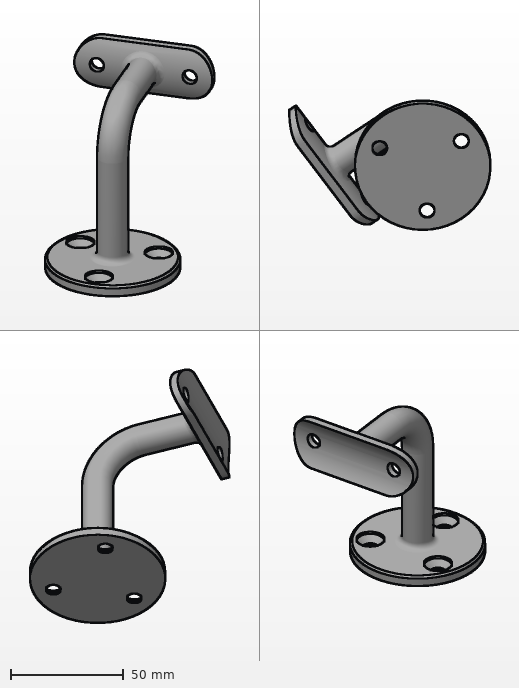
import cadquery as cq
import math

TOTAL_HEIGHT = 87.0

BASE_DIAMETER = 60.0
BASE_THICKNESS = 5.0
BASE_CHAMFER = 1.05

SCREW_HOLE_DIAMETER = 6.5
COUNTERSINK_DIAMETER = 12.5
COUNTERSINK_RIM_DEPTH = 1.1
COUNTERSINK_ANGLE = 90.0
SCREW_COUNT = 3
SCREW_CIRCLE_RADIUS = 21.0
FIRST_SCREW_ANGLE = -90.0

ARM_DIAMETER = 14.0
ARM_HEIGHT = 75.0
BEND_RADIUS = 21.0
JOINT_FILLET = 3.0
JOINT_MARGIN = 1.7

SADDLE_LENGTH = 63.95
SADDLE_HEIGHT = 2 * (TOTAL_HEIGHT - ARM_HEIGHT)
SADDLE_THICKNESS = 3.6
RAIL_RADIUS = 21.0
SADDLE_REACH = 53.7
SADDLE_HOLE_DIAMETER = 6.5
SADDLE_HOLE_SPACING = 43.0

saddle_sag = RAIL_RADIUS - math.sqrt(RAIL_RADIUS**2 - (SADDLE_HEIGHT / 2) ** 2)
rail_axis_y = SADDLE_REACH - saddle_sag + RAIL_RADIUS
outer_radius = RAIL_RADIUS + SADDLE_THICKNESS


def make_base():
    """Round flange with its top rim chamfered."""
    base = cq.Workplane("XY").circle(BASE_DIAMETER / 2).extrude(BASE_THICKNESS)
    return base.faces(">Z").edges().chamfer(BASE_CHAMFER)


def make_arm():
    """Rod that rises from the base, bends to +Y and stops inside the saddle."""
    arm_end = rail_axis_y - RAIL_RADIUS - SADDLE_THICKNESS / 2
    path = (
        cq.Workplane("YZ")
        .moveTo(0, BASE_THICKNESS / 2)
        .lineTo(0, ARM_HEIGHT - BEND_RADIUS)
        .radiusArc((BEND_RADIUS, ARM_HEIGHT), BEND_RADIUS)
        .lineTo(arm_end, ARM_HEIGHT)
    )
    section = cq.Workplane("XY", origin=(0, 0, BASE_THICKNESS / 2)).circle(ARM_DIAMETER / 2)
    return section.sweep(path)


def rail_cylinder(radius):
    """Cylinder around the handrail axis, as long as the saddle."""
    return (
        cq.Workplane("YZ", origin=(-SADDLE_LENGTH / 2, 0, 0))
        .center(rail_axis_y, ARM_HEIGHT)
        .circle(radius)
        .extrude(SADDLE_LENGTH)
    )


def make_saddle():
    """Round-ended plate cut from a tube wall around the handrail."""
    blank = (
        cq.Workplane("XZ", origin=(0, rail_axis_y, ARM_HEIGHT))
        .slot2D(SADDLE_LENGTH, SADDLE_HEIGHT)
        .extrude(outer_radius)
    )
    return blank.intersect(rail_cylinder(outer_radius)).cut(rail_cylinder(RAIL_RADIUS))


def edges_in_box(center, half_sizes):
    """Selector for the edges that lie wholly inside a box."""
    low = tuple(c - h for c, h in zip(center, half_sizes))
    high = tuple(c + h for c, h in zip(center, half_sizes))
    return cq.selectors.BoxSelector(low, high, boundingbox=True)


def fillet_joints(body):
    """Blend both ends of the arm into the base and the saddle."""
    around_arm = ARM_DIAMETER / 2 + JOINT_MARGIN
    saddle_face_y = rail_axis_y - outer_radius
    base_joint = edges_in_box((0, 0, BASE_THICKNESS), (around_arm, around_arm, JOINT_MARGIN))
    saddle_joint = edges_in_box((0, saddle_face_y, ARM_HEIGHT), (around_arm, JOINT_MARGIN, around_arm))
    body = body.edges(base_joint).fillet(JOINT_FILLET)
    return body.edges(saddle_joint).fillet(JOINT_FILLET)


def cut_screw_holes(body):
    """Countersunk holes, each with a short straight rim above the cone."""
    half_angle = math.radians(COUNTERSINK_ANGLE / 2)
    cone_depth = (COUNTERSINK_DIAMETER - SCREW_HOLE_DIAMETER) / 2 / math.tan(half_angle)
    cone_top = BASE_THICKNESS - COUNTERSINK_RIM_DEPTH
    hole_radius = SCREW_HOLE_DIAMETER / 2
    rim_radius = COUNTERSINK_DIAMETER / 2
    tool = (
        cq.Workplane("XZ")
        .polyline([
            (0, 0),
            (hole_radius, 0),
            (hole_radius, cone_top - cone_depth),
            (rim_radius, cone_top),
            (rim_radius, BASE_THICKNESS),
            (0, BASE_THICKNESS),
        ])
        .close()
        .revolve(360, (0, 0, 0), (0, 1, 0))
        .translate((SCREW_CIRCLE_RADIUS, 0, 0))
    )
    for index in range(SCREW_COUNT):
        angle = FIRST_SCREW_ANGLE + index * 360 / SCREW_COUNT
        body = body.cut(tool.rotate((0, 0, 0), (0, 0, 1), angle))
    return body


def cut_saddle_holes(body):
    """Plain holes through the saddle, one on each side of the arm."""
    half_spacing = SADDLE_HOLE_SPACING / 2
    holes = (
        cq.Workplane("XZ", origin=(0, rail_axis_y, ARM_HEIGHT))
        .pushPoints([(-half_spacing, 0), (half_spacing, 0)])
        .circle(SADDLE_HOLE_DIAMETER / 2)
        .extrude(outer_radius)
    )
    return body.cut(holes)


bracket = make_base().union(make_arm()).union(make_saddle())
bracket = fillet_joints(bracket)
bracket = cut_screw_holes(bracket)
result = cut_saddle_holes(bracket)